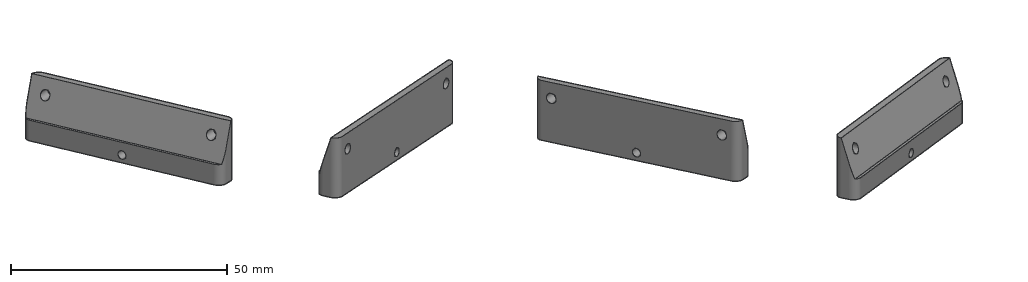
import cadquery as cq

length = 54.0
depth = 6.0
height = 15.0
corner_radius = 2.0

top_thickness = 1.9
ledge_depth = 0.75
ledge_height = 5.2

mount_hole_diameter = 2.5
mount_hole_inset = 4.5
mount_hole_height = 11.0
center_hole_diameter = 2.1
center_hole_height = 2.0

front_y = -depth / 2
back_y = depth / 2


def make_body():
    """Rounded block trimmed to the side profile."""
    block = cq.Workplane("XY").box(length, depth, height, centered=(True, True, False))
    block = block.edges("|Z").fillet(corner_radius)
    profile = (
        cq.Workplane("YZ")
        .moveTo(front_y, 0)
        .lineTo(back_y, 0)
        .lineTo(back_y, height)
        .lineTo(back_y - top_thickness, height)
        .lineTo(front_y + ledge_depth, ledge_height)
        .lineTo(front_y, ledge_height)
        .close()
        .extrude(length / 2, both=True)
    )
    return block.intersect(profile)


def make_hole(x, z, diameter):
    """Cylinder through the full depth at the given place."""
    return (
        cq.Workplane("XZ")
        .center(x, z)
        .circle(diameter / 2)
        .extrude(depth, both=True)
    )


result = make_body()
mount_hole_x = length / 2 - mount_hole_inset
for x in (-mount_hole_x, mount_hole_x):
    result = result.cut(make_hole(x, mount_hole_height, mount_hole_diameter))
result = result.cut(make_hole(0, center_hole_height, center_hole_diameter))